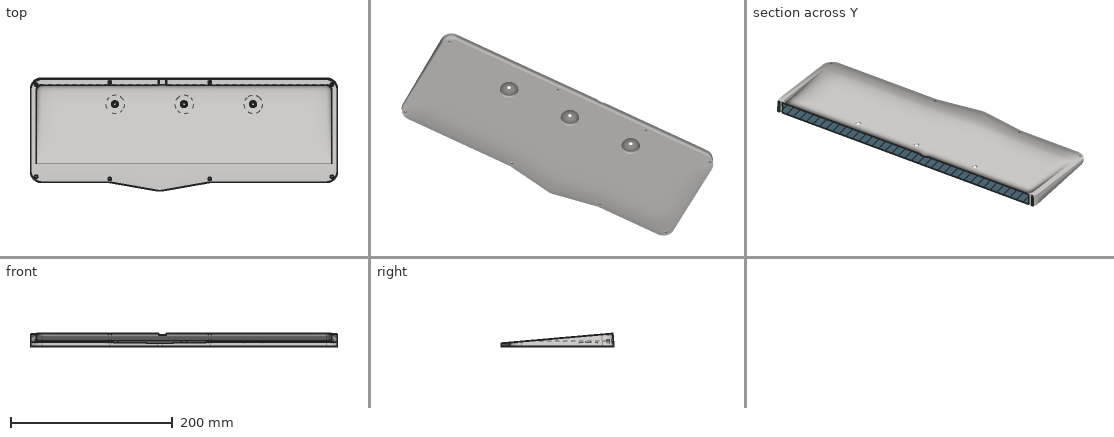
import cadquery as cq
import math

WIDTH = 379.0
DEPTH = 139.5
HEIGHT = 16.3
TILT = 5.0

CORNER_RADIUS = 14.0
TIP_X = 159.5
TIP_HALF_WIDTH = 61.8
TIP_REACH = 10.5
TIP_RADIUS = 17.0

RIM = 7.2
FLOOR_HEIGHT = 7.2

SCREW_DIAMETER = 3.5
CORNER_HOLE_INSET = 7.0
EDGE_HOLE_INSET = 4.0
MOUNT_DIAMETER = 4.0
MOUNT_HEAD_DIAMETER = 8.0
MOUNT_HEAD_ANGLE = 90.0
MOUNT_SPACING = 85.3
MOUNT_Y = 107.3
MOUNT_POINTS = [(WIDTH / 2 + i * MOUNT_SPACING, MOUNT_Y) for i in (-1, 0, 1)]
MOUNT_WEB = 2.0
RECESS_DIAMETER = 22.7

GROOVE_X = 163.0
GROOVE_TOP_WIDTH = 10.2
GROOVE_BASE_WIDTH = 8.5
GROOVE_DEPTH = 1.5

SLOPE = math.radians(TILT)
REAR_TOP_Y = DEPTH - HEIGHT * math.tan(SLOPE)
TOP_LENGTH = REAR_TOP_Y / math.cos(SLOPE)
FRONT_HEIGHT = HEIGHT - REAR_TOP_Y * math.tan(SLOPE)
BLANK_DEPTH = 2 * HEIGHT
TOP_NORMAL = (0, -math.sin(SLOPE), math.cos(SLOPE))
WALL_EDGES = cq.selectors.ParallelDirSelector(cq.Vector(*TOP_NORMAL))


def top_plane():
    """Workplane on the sloping top: local x is X, local y climbs to the rear."""
    return cq.Workplane(cq.Plane((0, 0, FRONT_HEIGHT), (1, 0, 0), TOP_NORMAL))


def upper_space(base_height):
    """Box covering the whole part above a level height."""
    return (
        cq.Workplane("XY", origin=(WIDTH / 2, DEPTH / 2, base_height))
        .box(2 * WIDTH, 2 * DEPTH, BLANK_DEPTH, centered=(True, True, False))
    )


def wedge_body():
    slab = (
        top_plane()
        .center(WIDTH / 2, (TIP_REACH + TOP_LENGTH) / 2)
        .rect(WIDTH, TOP_LENGTH - TIP_REACH)
        .extrude(-BLANK_DEPTH)
        .edges(WALL_EDGES)
        .fillet(CORNER_RADIUS)
    )
    flank = math.atan2(TIP_REACH, TIP_HALF_WIDTH)
    overshoot = TIP_RADIUS * (1 / math.cos(flank) - 1)
    tip = (
        top_plane()
        .moveTo(TIP_X - TIP_HALF_WIDTH, TIP_REACH)
        .lineTo(TIP_X, -overshoot)
        .lineTo(TIP_X + TIP_HALF_WIDTH, TIP_REACH)
        .lineTo(TIP_X, TOP_LENGTH / 2)
        .close()
        .extrude(-BLANK_DEPTH)
        .edges(cq.selectors.NearestToPointSelector((TIP_X, 0, 0)))
        .fillet(TIP_RADIUS)
    )
    return slab.union(tip).intersect(upper_space(0))


def tray_pocket():
    column = (
        top_plane()
        .center(WIDTH / 2, TOP_LENGTH / 2)
        .rect(WIDTH - 2 * RIM, TOP_LENGTH - 2 * RIM)
        .extrude(BLANK_DEPTH / 2, both=True)
        .edges(WALL_EDGES)
        .fillet(CORNER_RADIUS - RIM)
    )
    return column.intersect(upper_space(FLOOR_HEIGHT))


def screw_holes():
    corner_rows = (TIP_REACH + CORNER_HOLE_INSET, TOP_LENGTH - CORNER_HOLE_INSET)
    edge_rows = (TIP_REACH + EDGE_HOLE_INSET, TOP_LENGTH - EDGE_HOLE_INSET)
    corner_columns = (CORNER_HOLE_INSET, WIDTH - CORNER_HOLE_INSET)
    edge_columns = (TIP_X - TIP_HALF_WIDTH, TIP_X + TIP_HALF_WIDTH)
    points = [(x, y) for x in corner_columns for y in corner_rows]
    points += [(x, y) for x in edge_columns for y in edge_rows]
    return top_plane().pushPoints(points).circle(SCREW_DIAMETER / 2).extrude(-BLANK_DEPTH)


def drill_mounts(body):
    return (
        body.copyWorkplane(cq.Workplane("XY", origin=(0, 0, FLOOR_HEIGHT)))
        .pushPoints(MOUNT_POINTS)
        .cskHole(MOUNT_DIAMETER, MOUNT_HEAD_DIAMETER, MOUNT_HEAD_ANGLE)
    )


def underside_recesses():
    """Clearance below the mounting holes, leaving a thin web around each one."""
    return (
        cq.Workplane("XY")
        .pushPoints(MOUNT_POINTS)
        .circle(RECESS_DIAMETER / 2)
        .extrude(FLOOR_HEIGHT - MOUNT_WEB)
    )


def cable_groove():
    """Flat-bottomed groove with flared sides, open to the rear and to the pocket."""
    section = cq.Plane(
        (GROOVE_X, REAR_TOP_Y, HEIGHT),
        (1, 0, 0),
        (0, -math.cos(SLOPE), -math.sin(SLOPE)),
    )
    return (
        cq.Workplane(section)
        .moveTo(-GROOVE_TOP_WIDTH / 2, 0)
        .lineTo(-GROOVE_BASE_WIDTH / 2, -GROOVE_DEPTH)
        .lineTo(GROOVE_BASE_WIDTH / 2, -GROOVE_DEPTH)
        .lineTo(GROOVE_TOP_WIDTH / 2, 0)
        .close()
        .extrude(2 * RIM, both=True)
    )


body = wedge_body().cut(tray_pocket()).cut(screw_holes()).cut(cable_groove())
result = drill_mounts(body).cut(underside_recesses())